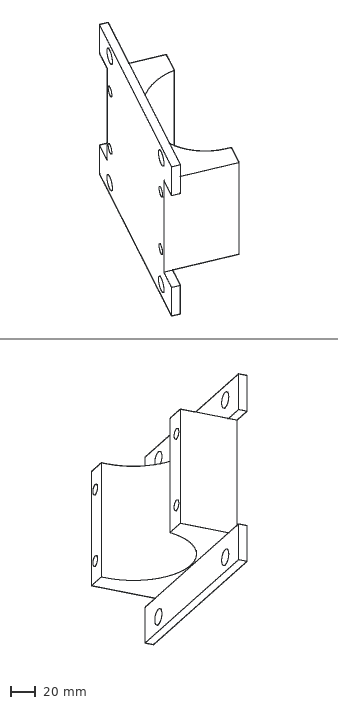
import cadquery as cq

plate_width = 177.8
plate_height = 165.2
plate_thickness = 7.6

block_width = 139.8
block_height = 101.5
low_wall_depth = 50.7
high_wall_depth = 64.4

seat_radius = 50.9
seat_floor = 8.7
seat_center_y = seat_floor + seat_radius

corner_hole_diameter = 13.5
corner_hole_spacing_x = 127.0
corner_hole_spacing_z = 139.8
block_hole_diameter = 8.9
block_hole_spacing_x = 125.2
block_hole_spacing_z = 63.5


def make_plate():
    """Plate with a rectangular notch in the middle of each side edge."""
    plate = cq.Workplane("XY").box(
        plate_width, plate_thickness, plate_height, centered=(True, False, True)
    )
    notch_depth = (plate_width - block_width) / 2
    notch_x = (plate_width - notch_depth) / 2
    for side in (-1, 1):
        notch = cq.Workplane("XY").box(
            notch_depth, plate_thickness, block_height, centered=(True, False, True)
        )
        plate = plate.cut(notch.translate((side * notch_x, 0, 0)))
    return plate


def make_saddle():
    """Block with a low wall at -X, a high wall at +X and the seat between."""
    half_width = block_width / 2
    block = (
        cq.Workplane("XY")
        .workplane(offset=-block_height / 2)
        .moveTo(-half_width, 0)
        .lineTo(half_width, 0)
        .lineTo(half_width, high_wall_depth)
        .lineTo(0, high_wall_depth)
        .lineTo(0, low_wall_depth)
        .lineTo(-half_width, low_wall_depth)
        .close()
        .extrude(block_height)
    )
    seat = (
        cq.Workplane("XY")
        .workplane(offset=-block_height / 2)
        .center(0, seat_center_y)
        .circle(seat_radius)
        .extrude(block_height)
    )
    mouth = cq.Workplane("XY").box(
        2 * seat_radius, seat_radius, block_height, centered=(True, False, True)
    )
    return block.cut(seat).cut(mouth.translate((0, seat_center_y, 0)))


def make_holes(diameter, spacing_x, spacing_z):
    """Four cylinders running the full depth of the part along Y."""
    return (
        cq.Workplane("XZ")
        .rect(spacing_x, spacing_z, forConstruction=True)
        .vertices()
        .circle(diameter / 2)
        .extrude(-high_wall_depth)
    )


corner_holes = make_holes(corner_hole_diameter, corner_hole_spacing_x, corner_hole_spacing_z)
block_holes = make_holes(block_hole_diameter, block_hole_spacing_x, block_hole_spacing_z)

result = make_plate().union(make_saddle()).cut(corner_holes).cut(block_holes)